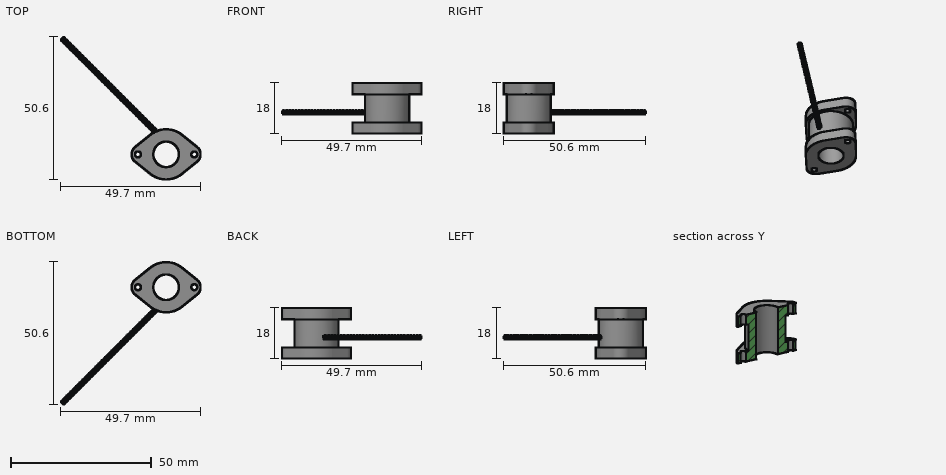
import cadquery as cq
import math

BARREL_DIAMETER = 15.75
BORE_DIAMETER = 9.0
TOTAL_HEIGHT = 18.0
FLANGE_THICKNESS = 4.0

FLANGE_MIDDLE_RADIUS = 8.95
FLANGE_END_RADIUS = 3.35
FLANGE_END_OFFSET = 8.95
SCREW_HOLE_DIAMETER = 2.05
SCREW_HOLE_SPACING = 20.0

STRAND_COUNT = 4
CABLE_DIAMETER = 1.5
STRAND_DIAMETER = 0.5
TWIST_TURNS = 7.6
CABLE_HEIGHT = 7.55
CABLE_OFFSET = 3.05
CABLE_REACH = 55.15

DIAGONAL = math.sqrt(0.5)

strand_orbit = (CABLE_DIAMETER - STRAND_DIAMETER) / 2


def make_flange(base_height):
    """Diamond-shaped plate with rounded corners and two screw holes."""
    normal_x = (FLANGE_MIDDLE_RADIUS - FLANGE_END_RADIUS) / FLANGE_END_OFFSET
    normal_y = math.sqrt(1 - normal_x**2)
    middle_x = FLANGE_MIDDLE_RADIUS * normal_x
    middle_y = FLANGE_MIDDLE_RADIUS * normal_y
    end_x = FLANGE_END_OFFSET + FLANGE_END_RADIUS * normal_x
    end_y = FLANGE_END_RADIUS * normal_y
    tip_x = FLANGE_END_OFFSET + FLANGE_END_RADIUS
    plate = (
        cq.Workplane("XY", origin=(0, 0, base_height))
        .moveTo(-middle_x, middle_y)
        .threePointArc((0, FLANGE_MIDDLE_RADIUS), (middle_x, middle_y))
        .lineTo(end_x, end_y)
        .threePointArc((tip_x, 0), (end_x, -end_y))
        .lineTo(middle_x, -middle_y)
        .threePointArc((0, -FLANGE_MIDDLE_RADIUS), (-middle_x, -middle_y))
        .lineTo(-end_x, -end_y)
        .threePointArc((-tip_x, 0), (-end_x, end_y))
        .close()
        .extrude(FLANGE_THICKNESS)
    )
    screw_holes = (
        cq.Workplane("XY", origin=(0, 0, base_height))
        .pushPoints([(-SCREW_HOLE_SPACING / 2, 0), (SCREW_HOLE_SPACING / 2, 0)])
        .circle(SCREW_HOLE_DIAMETER / 2)
        .extrude(FLANGE_THICKNESS)
    )
    return plate.cut(screw_holes)


def make_barrel():
    """Solid cylinder over the full height of the bobbin."""
    return cq.Workplane("XY").circle(BARREL_DIAMETER / 2).extrude(TOTAL_HEIGHT)


def make_bobbin():
    """Barrel and both flanges in one piece, bored through."""
    bore = cq.Workplane("XY").circle(BORE_DIAMETER / 2).extrude(TOTAL_HEIGHT)
    lower_flange = make_flange(0)
    upper_flange = make_flange(TOTAL_HEIGHT - FLANGE_THICKNESS)
    return make_barrel().union(lower_flange).union(upper_flange).cut(bore).solids()


def make_strand(index):
    """Right-hand helical strand from the free end to the barrel, trimmed to the barrel surface."""
    free_end = (
        (CABLE_OFFSET - CABLE_REACH) * DIAGONAL,
        (CABLE_OFFSET + CABLE_REACH) * DIAGONAL,
        CABLE_HEIGHT,
    )
    end_plane = cq.Plane(origin=free_end, xDir=(-1, -1, 0), normal=(1, -1, 0))
    outer_side = CABLE_OFFSET + CABLE_DIAMETER / 2
    length = CABLE_REACH - math.sqrt((BARREL_DIAMETER / 2) ** 2 - outer_side**2)
    strand = (
        cq.Workplane(end_plane)
        .transformed(rotate=(0, 0, 360 * index / STRAND_COUNT))
        .moveTo(strand_orbit, 0)
        .circle(STRAND_DIAMETER / 2)
        .twistExtrude(length, 360 * TWIST_TURNS)
    )
    return strand.cut(make_barrel()).solids()


bobbin = make_bobbin()
strands = [make_strand(index) for index in range(STRAND_COUNT)]

result = cq.Compound.makeCompound([bobbin.val(), *[strand.val() for strand in strands]])